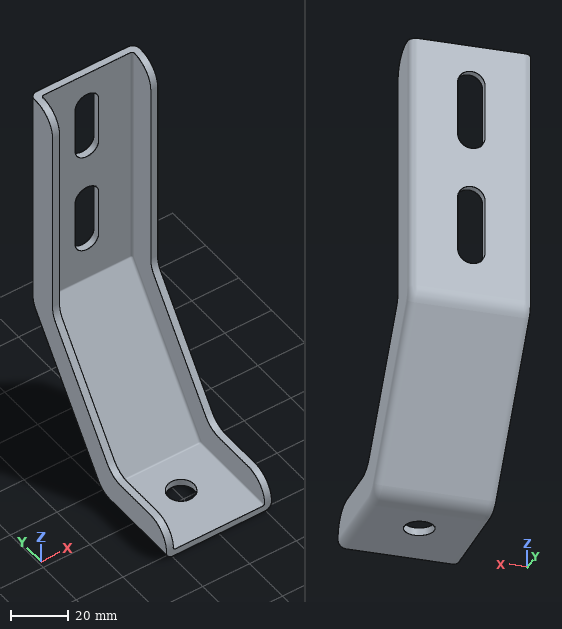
import cadquery as cq
import math

width = 45.0
depth = 83.0
height = 160.0

thickness = 3.0
flange_height = 14.0
bend_radius = 10.0
flange_end_radius = 10.0
outer_edge_radius = 3.0
inner_radius = 1.0

foot_length = 40.0
slant_rise = 60.0
slant_run = depth - foot_length
slant_angle = math.atan2(slant_run, slant_rise)

foot_hole_diameter = 11.0
foot_hole_to_end = 23.0
slot_width = 10.0
slot_length = 30.0
slot_margin = 10.0
slot_pitch = 45.0
slot_count = 2
slot_angle = 90.0


def bend_corners(offset):
    """Corners (y, z) of the upper and lower bends, at an inward offset from the outer face."""
    upper_shift = offset * math.tan(slant_angle / 2)
    lower_shift = offset * math.tan((math.pi / 2 - slant_angle) / 2)
    upper = (-offset, slant_rise + upper_shift)
    lower = (-slant_run - lower_shift, offset)
    return upper, lower


def channel_prism(inner_offset, outer_offset, prism_width):
    """Prism, centred on x = 0, between two offsets of the bent outer face."""
    first_upper, first_lower = bend_corners(inner_offset)
    last_upper, last_lower = bend_corners(outer_offset)
    outline = [
        (-inner_offset, height),
        first_upper,
        first_lower,
        (-depth, inner_offset),
        (-depth, outer_offset),
        last_lower,
        last_upper,
        (-outer_offset, height),
    ]
    return cq.Workplane("YZ").polyline(outline).close().extrude(prism_width / 2, both=True)


def edge_near(y, z):
    """Selector for the X-parallel edge closest to a point of the side profile."""
    return cq.selectors.NearestToPointSelector((0, y, z))


def make_block():
    """Solid bent bar with rounded bends, flange ends and outer edges."""
    block = channel_prism(0, flange_height, width)
    bends = bend_corners(0) + bend_corners(flange_height)
    for y, z in bends:
        block = block.edges("|X").edges(edge_near(y, z)).fillet(bend_radius)
    flange_ends = [(-flange_height, height), (-depth, flange_height)]
    for y, z in flange_ends:
        block = block.edges("|X").edges(edge_near(y, z)).fillet(flange_end_radius)
    for x in (-width / 2, width / 2):
        back_edge = cq.selectors.NearestToPointSelector((x, 0, (slant_rise + height) / 2))
        block = block.edges("|Z").edges(back_edge).fillet(outer_edge_radius)
    return block


def make_cavity():
    """Inside of the channel, with its floor corners rounded."""
    clearance = 5.0
    cavity = channel_prism(thickness, flange_height + clearance, width - 2 * thickness)
    upper, lower = bend_corners(thickness)
    side = width / 2 - thickness
    floor_points = [(0, *upper), (0, *lower)]
    for x in (-side, side):
        floor_points.append((x, -thickness, (upper[1] + height) / 2))
        floor_points.append((x, (upper[0] + lower[0]) / 2, (upper[1] + lower[1]) / 2))
        floor_points.append((x, (lower[0] - depth) / 2, thickness))
    floor_edges = cavity.newObject([])
    for point in floor_points:
        floor_edges = floor_edges.add(cavity.edges(cq.selectors.NearestToPointSelector(point)))
    return floor_edges.fillet(inner_radius)


def make_slots():
    """Upright slots through the back."""
    top_slot_z = height - slot_margin - slot_length / 2
    centres = [(0, top_slot_z - index * slot_pitch) for index in range(slot_count)]
    plane = cq.Workplane("XZ").pushPoints(centres)
    return plane.slot2D(slot_length, slot_width, slot_angle).extrude(thickness)


def make_foot_hole():
    """Round hole through the foot."""
    plane = cq.Workplane("XY").center(0, foot_hole_to_end - depth)
    return plane.circle(foot_hole_diameter / 2).extrude(thickness)


result = make_block().cut(make_cavity()).cut(make_slots()).cut(make_foot_hole())